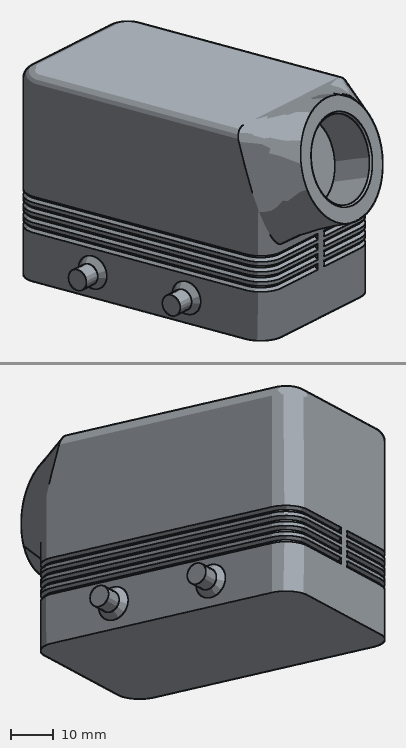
import cadquery as cq
import math

total_length = 83.5
total_width = 55.0
total_height = 55.3

body_length = 73.05
body_width = 43.1
body_height = 51.9
corner_radius = 6.0
top_edge_radius = 3.0

slant_angle = 17.2
nozzle_diameter = 30.05
bore_diameter = 21.4
bore_chamfer = 0.5

groove_count = 4
groove_pitch = 2.5
groove_width = 1.5
groove_depth = 0.75
lowest_groove_z = 13.0
groove_gap = 2.6

peg_diameter = 5.2
peg_base_diameter = 8.2
peg_spacing = 27.05
peg_z = 6.35

tilt = math.radians(slant_angle)
nozzle_length = (total_length - body_length) / math.cos(tilt)
mouth_bottom_z = total_height - nozzle_diameter * math.cos(tilt)
slant_bottom_z = mouth_bottom_z - nozzle_length * math.sin(tilt)
axis_direction = cq.Vector(math.cos(tilt), 0, math.sin(tilt))
slope_direction = cq.Vector(-math.sin(tilt), 0, math.cos(tilt))
slant_center = cq.Vector(body_length, 0, slant_bottom_z) + slope_direction * (nozzle_diameter / 2)
mouth_center = slant_center + axis_direction * nozzle_length


def make_block():
    """Block with rounded vertical corners and a rounded top rim."""
    return (
        cq.Workplane("XY")
        .box(body_length, body_width, body_height, centered=(False, True, False))
        .edges("|Z")
        .fillet(corner_radius)
        .faces(">Z")
        .edges()
        .fillet(top_edge_radius)
    )


def cut_slant(block):
    """Remove everything beyond the slanted plane."""
    waste_size = 2 * total_length
    slant_plane = cq.Plane(slant_center, xDir=cq.Vector(0, 1, 0), normal=axis_direction)
    waste = cq.Workplane(slant_plane).rect(waste_size, waste_size).extrude(waste_size)
    return block.cut(waste)


def make_nozzle(body):
    """Transition from the slanted face of the body to the round nozzle mouth."""
    slant_face = body.faces(cq.selectors.DirectionMinMaxSelector(axis_direction)).val()
    mouth = cq.Wire.makeCircle(nozzle_diameter / 2, mouth_center, axis_direction)
    return cq.Workplane(cq.Solid.makeLoft([slant_face.outerWire(), mouth], ruled=True))


def make_bore():
    """Cable bore through the length of the nozzle, chamfered at the mouth."""
    bore_radius = bore_diameter / 2
    mouth_radius = bore_radius + bore_chamfer
    inward = axis_direction * -1
    bore = cq.Solid.makeCylinder(bore_radius, nozzle_length, mouth_center, inward)
    chamfer = cq.Solid.makeCone(mouth_radius, bore_radius, bore_chamfer, mouth_center, inward)
    return cq.Workplane(bore.fuse(chamfer))


def make_peg(x, side):
    """Round peg with a conical foot; side is +1 or -1 along Y."""
    peg_radius = peg_diameter / 2
    base_radius = peg_base_diameter / 2
    foot_height = base_radius - peg_radius
    peg_length = (total_width - body_width) / 2
    start = cq.Vector(x, side * body_width / 2, peg_z)
    outward = cq.Vector(0, side, 0)
    shaft = cq.Solid.makeCylinder(peg_radius, peg_length, start, outward)
    foot = cq.Solid.makeCone(base_radius, peg_radius, foot_height, start, outward)
    return cq.Workplane(shaft.fuse(foot))


def body_slice(bottom_z, height, taper=0.0):
    """Slice of the full-length body, optionally narrowing upward by a taper in degrees."""
    outline = cq.Sketch().rect(body_length, body_width).vertices().fillet(corner_radius)
    base = cq.Workplane("XY", origin=(body_length / 2, 0, bottom_z))
    return base.placeSketch(outline).extrude(height, taper=taper)


def make_groove(z):
    """V-section ring cutter centred at height z, interrupted on both end faces."""
    half_width = groove_width / 2
    flank_angle = math.degrees(math.atan(groove_depth / half_width))
    lower = body_slice(z - half_width, half_width, flank_angle)
    upper = lower.mirror("XY", (0, 0, z))
    core = lower.union(upper)
    band = body_slice(z - half_width, groove_width)
    strip = cq.Workplane("XY", origin=(body_length / 2, 0, z)).box(body_length, groove_gap, groove_width)
    return band.cut(core).cut(strip)


body = cut_slant(make_block())
result = body.union(make_nozzle(body)).cut(make_bore())

for level in range(groove_count):
    result = result.cut(make_groove(lowest_groove_z + level * groove_pitch))

for side in (-1, 1):
    for offset in (-peg_spacing / 2, peg_spacing / 2):
        result = result.union(make_peg(body_length / 2 + offset, side))